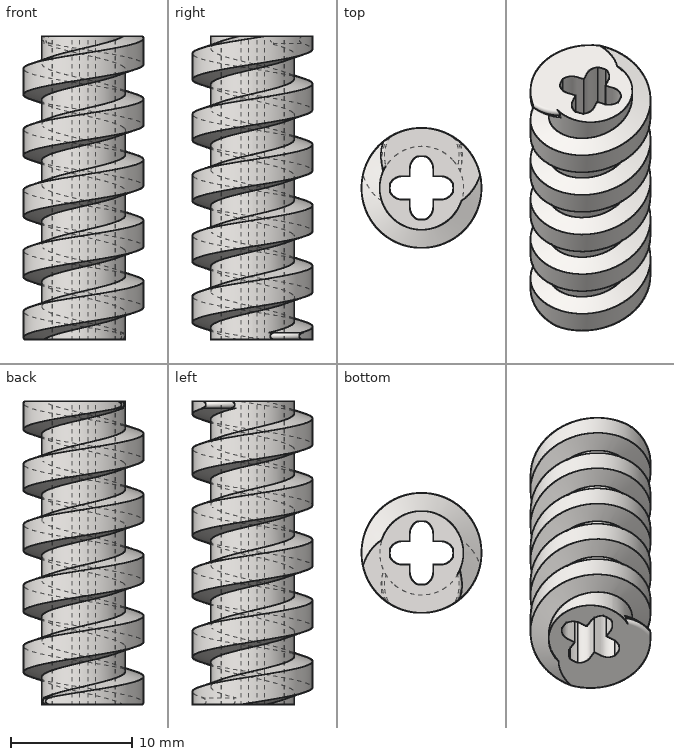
import cadquery as cq
import math

length = 25.0
outer_radius = 4.95
core_radius = 3.45

pitch = 5.0
crest_width = 2.15
root_width = 3.0
thread_start_angle = 90.0
root_overlap = 0.2
spare_turns = 1

bore_tip_radius = 2.6
arm_half_width = 0.95
arm_straight_end = 1.6
arm_side_radius = 1.1

lip_center = (-0.1, 2.65)
lip_radius = 3.25
lip_edge_radius = 2.95
lip_bottom = length - 0.58
clearance = 1.25


def make_thread():
    """Sweep the tapered thread section along a helix, then trim it to length."""
    flank_slope = (root_width - crest_width) / 2 / (outer_radius - core_radius)
    inner_radius = core_radius - root_overlap
    inner_half = root_width / 2 + root_overlap * flank_slope
    crest_half = crest_width / 2
    helix_height = length + 2 * spare_turns * pitch
    path = cq.Wire.makeHelix(pitch, helix_height, core_radius)
    section = cq.Workplane("XZ").polyline([
        (inner_radius, -inner_half),
        (outer_radius, -crest_half),
        (outer_radius, crest_half),
        (inner_radius, inner_half),
    ]).close()
    thread = section.sweep(cq.Workplane(path), isFrenet=True)
    thread = thread.rotate((0, 0, 0), (0, 0, 1), thread_start_angle)
    thread = thread.translate((0, 0, -spare_turns * pitch))
    envelope = cq.Workplane("XY").circle(outer_radius + clearance).extrude(length)
    return thread.intersect(envelope)


def make_runout_cutter():
    """Waste outside a round-rimmed disc, kept to the thin end of the thread."""
    lip_middle = (lip_bottom + length) / 2
    disc = (
        cq.Workplane("XZ")
        .moveTo(0, lip_bottom)
        .lineTo(lip_edge_radius, lip_bottom)
        .threePointArc((lip_radius, lip_middle), (lip_edge_radius, length))
        .lineTo(0, length)
        .close()
        .revolve(360, (0, 0, 0), (0, 1, 0))
        .translate((*lip_center, 0))
    )
    reach = outer_radius + clearance
    waste = (
        cq.Workplane("XY", origin=(0, 0, lip_bottom))
        .center(-reach / 2, 0)
        .rect(reach, 2 * reach)
        .extrude(length - lip_bottom)
    )
    return waste.cut(disc)


def make_bore_arm():
    """Double-ended arm along Y: straight sides, curved shoulders, round tips."""
    side_center = arm_half_width - arm_side_radius
    shoulder_top = arm_straight_end + arm_side_radius * math.sqrt(
        1 - (side_center / arm_side_radius) ** 2
    )
    arm = (
        cq.Workplane("XY")
        .moveTo(arm_half_width, -arm_straight_end)
        .lineTo(arm_half_width, arm_straight_end)
        .radiusArc((0, shoulder_top), -arm_side_radius)
        .radiusArc((-arm_half_width, arm_straight_end), -arm_side_radius)
        .lineTo(-arm_half_width, -arm_straight_end)
        .radiusArc((0, -shoulder_top), -arm_side_radius)
        .radiusArc((arm_half_width, -arm_straight_end), -arm_side_radius)
        .close()
        .extrude(length)
    )
    return arm.intersect(cq.Workplane("XY").circle(bore_tip_radius).extrude(length))


core = cq.Workplane("XY").circle(core_radius).extrude(length)
top_cutter = make_runout_cutter()
bottom_cutter = top_cutter.rotate((0, 0, length / 2), (0, 1, length / 2), 180)
thread = make_thread().cut(top_cutter).cut(bottom_cutter)
result = core.union(thread)

arm = make_bore_arm()
for angle in (0, 90):
    result = result.cut(arm.rotate((0, 0, 0), (0, 0, 1), angle))